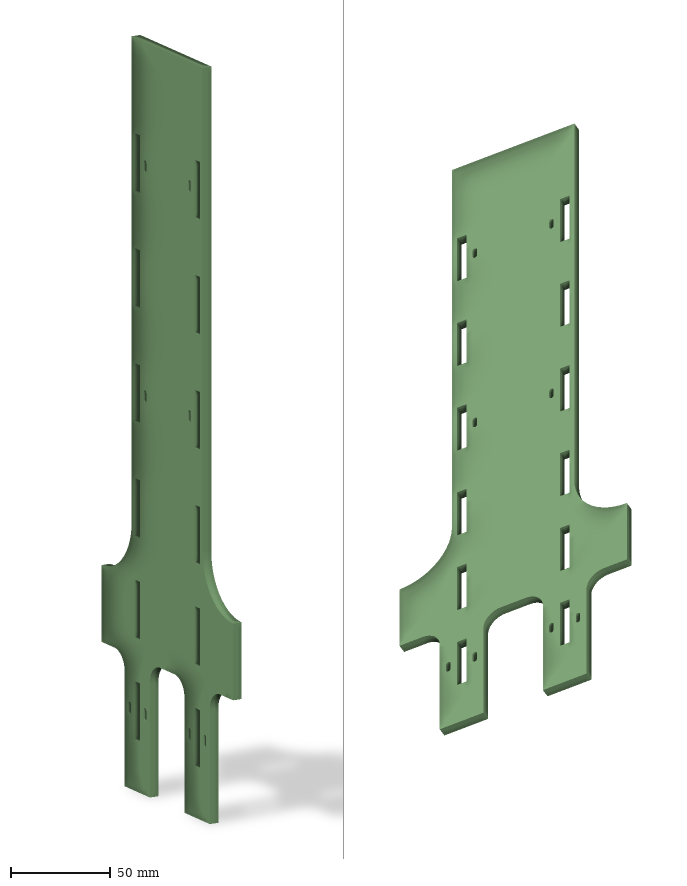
import cadquery as cq

thickness = 5.0
total_height = 393.0
stem_width = 70.0
wing_span = 130.0
wing_bottom = 70.0
wing_height = 40.0
wing_top = wing_bottom + wing_height
shoulder_radius = (wing_span - stem_width) / 2

leg_width = 25.0
leg_offset = 29.5
leg_outer = leg_offset + leg_width / 2
leg_inner = leg_offset - leg_width / 2
leg_fillet = 10.0

slot_width = 5.4
slot_length = 30.4
slot_offset = leg_offset
leg_slot_z = 42.0
lower_slot_pitch = 53.0
wing_slot_z = leg_slot_z + lower_slot_pitch
first_stem_slot_z = wing_slot_z + lower_slot_pitch
stem_slot_pitch = 60.0
stem_slot_count = 4
stem_slot_z = [first_stem_slot_z + row * stem_slot_pitch for row in range(stem_slot_count)]

small_slot_width = 2.5
small_slot_length = 6.5
small_slot_spacing = 7.6
small_slot_inner = slot_offset - small_slot_spacing
small_slot_outer = slot_offset + small_slot_spacing
small_slot_stem_rows = (1, 3)
upright = 90.0


def mirrored(offset, heights):
    """Points at +/- offset in X for every height in Z."""
    return [(side * offset, z) for z in heights for side in (-1, 1)]


def plate():
    """Half outline in the XZ plane, mirrored about X = 0 and given its thickness."""
    outline = (
        cq.Workplane("XZ")
        .moveTo(0, total_height)
        .lineTo(stem_width / 2, total_height)
        .lineTo(stem_width / 2, wing_top + shoulder_radius)
        .radiusArc((wing_span / 2, wing_top), -shoulder_radius)
        .lineTo(wing_span / 2, wing_bottom)
        .lineTo(leg_outer + leg_fillet, wing_bottom)
        .radiusArc((leg_outer, wing_bottom - leg_fillet), -leg_fillet)
        .lineTo(leg_outer, 0)
        .lineTo(leg_inner, 0)
        .lineTo(leg_inner, wing_bottom - leg_fillet)
        .radiusArc((leg_inner - leg_fillet, wing_bottom), -leg_fillet)
        .lineTo(0, wing_bottom)
        .mirrorY()
    )
    return outline.extrude(thickness)


def long_slots():
    """Cutters for the long slots of the legs, wings and stem."""
    points = mirrored(slot_offset, [leg_slot_z, wing_slot_z] + stem_slot_z)
    return cq.Workplane("XZ").pushPoints(points).rect(slot_width, slot_length).extrude(thickness)


def small_slots():
    """Cutters for the small slots: both sides of the leg slots, inner side only on the stem."""
    stem_heights = [stem_slot_z[row] for row in small_slot_stem_rows]
    points = mirrored(small_slot_inner, [leg_slot_z] + stem_heights)
    points += mirrored(small_slot_outer, [leg_slot_z])
    return (
        cq.Workplane("XZ")
        .pushPoints(points)
        .slot2D(small_slot_length, small_slot_width, upright)
        .extrude(thickness)
    )


result = plate().cut(long_slots()).cut(small_slots())